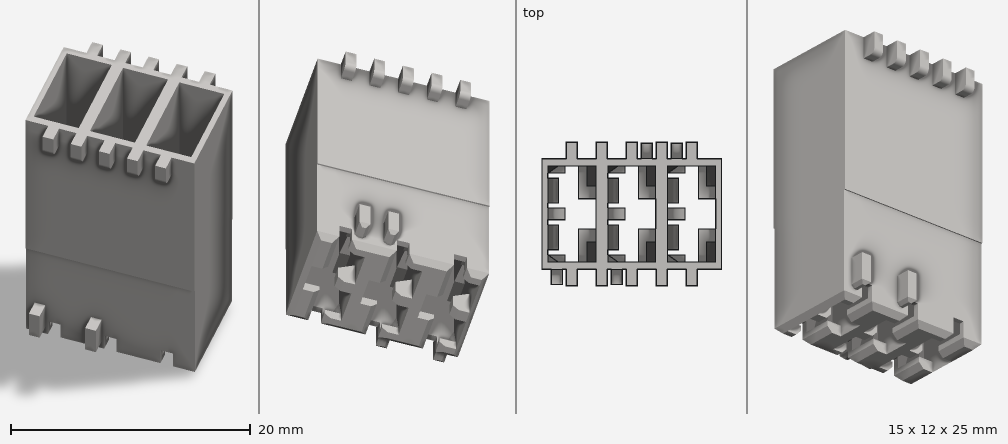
import cadquery as cq
import math

LENGTH = 15.0
HEIGHT = 25.0
UPPER_DEPTH = 9.25
LOWER_DEPTH = 9.0
STEP_Z = 10.0
BOTTOM_CHAMFER = 0.5

CAVITY_COUNT = 3
PITCH = 5.0
CAVITY_WIDTH = 4.0
CAVITY_DEPTH = 8.0
CAVITY_CENTRES = [(i - (CAVITY_COUNT - 1) / 2) * PITCH for i in range(CAVITY_COUNT)]

NOTCH_WIDTH = 1.1
NOTCH_HEIGHT = 2.0

UPPER_TAB_COUNT = 5
UPPER_TAB_PITCH = PITCH / 2
UPPER_TAB_WIDTH = 0.95
UPPER_TAB_HEIGHT = 2.0
UPPER_TAB_SPAN = 12.0
UPPER_TAB_RADIUS = 0.5

LOWER_TAB_WIDTH = 0.95
LOWER_TAB_BOTTOM = 1.0
LOWER_TAB_TOP = 3.8
LOWER_TAB_SPAN = 11.8
LOWER_TAB_CHAMFER = 0.3
FRONT_KEY_CENTRES = (-6.25, -1.25)
BACK_KEY_CENTRES = (1.25, 3.75)

FLOOR_TOP = 1.0
SUPPORT_WIDTH = (CAVITY_WIDTH - NOTCH_WIDTH) / 2
BLOCK_LENGTH = 2.75
CORNER_PAD_LENGTH = 0.6
POST_LENGTH = 1.0
POST_SLOPE = 32.4
POST_TOP = 1.8

RAMP_ANGLE = 75.4
BLOCK_RAMP_WIDTH = 0.75
BLOCK_RAMP_LENGTH = 1.65
LATCH_WIDTH = 0.9
LATCH_LENGTH = 2.1
LATCH_CENTRE_Y = 1.95
LATCH_BOTTOM = 6.0
GUSSET_WIDTH = 0.85
GUSSET_HEIGHT = 2.3


def box(x_range, y_range, z_range):
    """Block between the given limits on each axis, in either order."""
    corners = [(min(limits), max(limits)) for limits in (x_range, y_range, z_range)]
    sizes = [high - low for low, high in corners]
    lows = [low for low, _ in corners]
    return cq.Workplane("XY").box(*sizes, centered=False).translate(tuple(lows))


def prism_along_y(points, y_range):
    """Prism with an XZ outline, spanning the given Y limits."""
    low, high = min(y_range), max(y_range)
    outline = cq.Workplane("XZ", origin=(0, low, 0)).polyline(points).close()
    return outline.extrude(low - high)


def ramp(wall_x, direction, width, bottom, y_range):
    """Wedge on a side wall, widest at its bottom and running out at its top."""
    top = bottom + width * math.tan(math.radians(RAMP_ANGLE))
    points = [(wall_x, bottom), (wall_x + direction * width, bottom), (wall_x, top)]
    return prism_along_y(points, y_range)


def make_shell():
    lower = box((-LENGTH / 2, LENGTH / 2), (-LOWER_DEPTH / 2, LOWER_DEPTH / 2), (0, STEP_Z))
    lower = lower.faces("<Z").edges().chamfer(BOTTOM_CHAMFER)
    upper = box((-LENGTH / 2, LENGTH / 2), (-UPPER_DEPTH / 2, UPPER_DEPTH / 2), (STEP_Z, HEIGHT))
    shell = lower.union(upper)
    for centre in CAVITY_CENTRES:
        sides = (centre - CAVITY_WIDTH / 2, centre + CAVITY_WIDTH / 2)
        shell = shell.cut(box(sides, (-CAVITY_DEPTH / 2, CAVITY_DEPTH / 2), (0, HEIGHT)))
    return shell


def make_upper_tabs(side):
    tabs = cq.Workplane("XY")
    outer_y = side * UPPER_TAB_SPAN / 2
    for i in range(UPPER_TAB_COUNT):
        centre = (i - (UPPER_TAB_COUNT - 1) / 2) * UPPER_TAB_PITCH
        x_range = (centre - UPPER_TAB_WIDTH / 2, centre + UPPER_TAB_WIDTH / 2)
        tab = box(x_range, (side * CAVITY_DEPTH / 2, outer_y), (HEIGHT - UPPER_TAB_HEIGHT, HEIGHT))
        outer_face = ">Y" if side > 0 else "<Y"
        tabs = tabs.add(tab.faces(outer_face).edges("<Z").fillet(UPPER_TAB_RADIUS))
    return tabs.combine()


def make_lower_tabs(side, centres):
    tabs = cq.Workplane("XY")
    outer_y = side * LOWER_TAB_SPAN / 2
    inner_y = side * CAVITY_DEPTH / 2
    for centre in centres:
        x_range = (centre - LOWER_TAB_WIDTH / 2, centre + LOWER_TAB_WIDTH / 2)
        tab = box(x_range, (inner_y, outer_y), (LOWER_TAB_BOTTOM, LOWER_TAB_TOP))
        inner_edge = "<Y" if side > 0 else ">Y"
        bottom_edges = tab.faces("<Z").edges(f"not {inner_edge}")
        tabs = tabs.add(bottom_edges.chamfer(LOWER_TAB_CHAMFER))
    return tabs.combine()


def make_gusset(wall_x, side):
    """Steep three-sided gusset in the corner above a corner pad."""
    wall_y = side * CAVITY_DEPTH / 2
    corner = cq.Vector(wall_x, wall_y, FLOOR_TOP)
    along_x = cq.Vector(wall_x + GUSSET_WIDTH, wall_y, FLOOR_TOP)
    along_y = cq.Vector(wall_x, wall_y - side * CORNER_PAD_LENGTH, FLOOR_TOP)
    apex = cq.Vector(wall_x, wall_y, FLOOR_TOP + GUSSET_HEIGHT)
    triangles = [
        (corner, along_x, along_y),
        (corner, along_x, apex),
        (corner, along_y, apex),
        (along_x, along_y, apex),
    ]
    faces = [cq.Face.makeFromWires(cq.Wire.makePolygon(list(t), close=True)) for t in triangles]
    return cq.Workplane(cq.Solid.makeSolid(cq.Shell.makeShell(faces)).fix())


def make_post(left_x):
    """Central support whose top falls from the wall towards the notch."""
    inner_x = left_x + SUPPORT_WIDTH
    wall_top = POST_TOP + SUPPORT_WIDTH * math.tan(math.radians(POST_SLOPE))
    points = [(left_x, 0), (inner_x, 0), (inner_x, POST_TOP), (left_x, wall_top)]
    return prism_along_y(points, (-POST_LENGTH / 2, POST_LENGTH / 2))


def make_cavity_details(centre):
    left_x = centre - CAVITY_WIDTH / 2
    right_x = centre + CAVITY_WIDTH / 2
    details = make_post(left_x)
    for side in (-1, 1):
        end_y = side * CAVITY_DEPTH / 2
        floor = (0, FLOOR_TOP)
        block_y = (end_y, end_y - side * BLOCK_LENGTH)
        details = details.add(box((right_x - SUPPORT_WIDTH, right_x), block_y, floor))
        ramp_y = (end_y, end_y - side * BLOCK_RAMP_LENGTH)
        details = details.add(ramp(right_x, -1, BLOCK_RAMP_WIDTH, FLOOR_TOP, ramp_y))
        pad_y = (end_y, end_y - side * CORNER_PAD_LENGTH)
        details = details.add(box((left_x, left_x + SUPPORT_WIDTH), pad_y, floor))
        details = details.add(make_gusset(left_x, side))
        latch_centre = side * LATCH_CENTRE_Y
        latch_y = (latch_centre - LATCH_LENGTH / 2, latch_centre + LATCH_LENGTH / 2)
        details = details.add(ramp(left_x, 1, LATCH_WIDTH, LATCH_BOTTOM, latch_y))
    return details


def make_notch(centre):
    """Cutter running through the whole depth, with a flared mouth."""
    half = NOTCH_WIDTH / 2
    mouth = half + BOTTOM_CHAMFER
    points = [
        (centre - mouth, 0),
        (centre - half, BOTTOM_CHAMFER),
        (centre - half, NOTCH_HEIGHT),
        (centre + half, NOTCH_HEIGHT),
        (centre + half, BOTTOM_CHAMFER),
        (centre + mouth, 0),
    ]
    return prism_along_y(points, (-LOWER_DEPTH / 2, LOWER_DEPTH / 2))


result = make_shell()
additions = [make_upper_tabs(-1), make_upper_tabs(1)]
additions += [make_lower_tabs(-1, FRONT_KEY_CENTRES), make_lower_tabs(1, BACK_KEY_CENTRES)]
additions += [make_cavity_details(centre) for centre in CAVITY_CENTRES]
for addition in additions:
    for solid in addition.vals():
        result = result.union(cq.Workplane(solid))
for centre in CAVITY_CENTRES:
    result = result.cut(make_notch(centre))